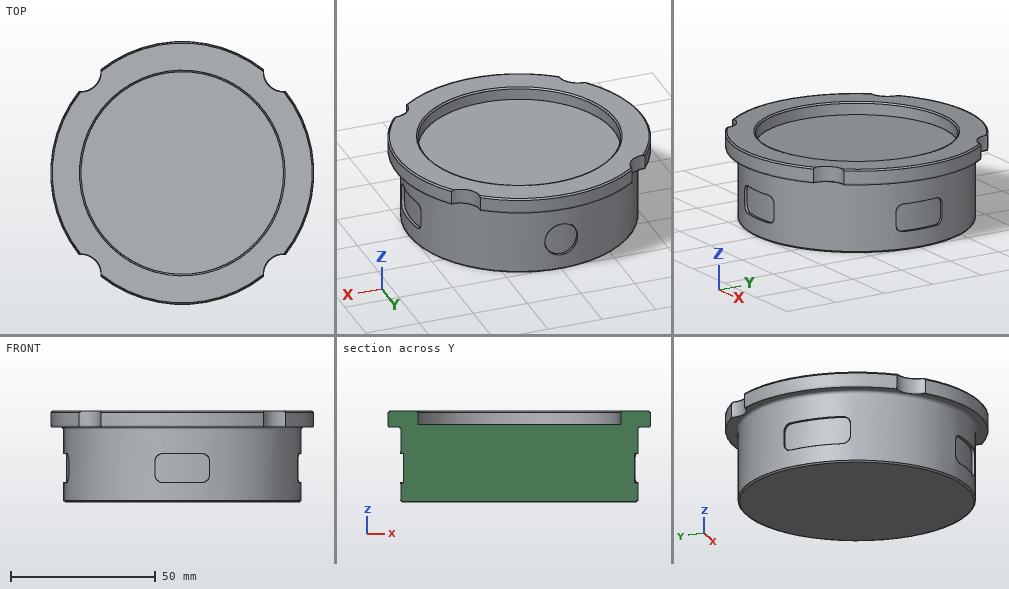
import cadquery as cq
import math

flange_diameter = 91.0
total_height = 31.5
flange_thickness = 5.55
body_diameter = 82.2

edge_chamfer = 0.55
neck_fillet = 1.0
underside_chamfer_height = 0.55
underside_chamfer_width = 0.14

pocket_diameter = 70.1
pocket_depth = 4.6

notch_count = 4
notch_wall_offset = 28.1
notch_corner_radius = 7.0

panel_depth = 1.0
panel_height = 10.0
panel_corner_radius = 2.7
panel_center_z = 11.7
narrow_panel_width = 18.9
wide_panel_width = 24.5
round_panel_diameter = 12.1

flange_radius = flange_diameter / 2
body_radius = body_diameter / 2
flange_bottom_z = total_height - flange_thickness


def turned_about_z(part, angle):
    """Rotate a solid about the part axis."""
    return part.rotate((0, 0, 0), (0, 0, 1), angle)


def make_body():
    """Solid round body, flared by the neck fillet where it enters the flange."""
    neck_radius = body_radius + neck_fillet
    fillet_start_z = flange_bottom_z - neck_fillet
    fillet_reach = neck_fillet * math.sqrt(0.5)
    fillet_middle = (neck_radius - fillet_reach, fillet_start_z + fillet_reach)
    return (
        cq.Workplane("XZ")
        .lineTo(body_radius - edge_chamfer, 0)
        .lineTo(body_radius, edge_chamfer)
        .lineTo(body_radius, fillet_start_z)
        .threePointArc(fillet_middle, (neck_radius, flange_bottom_z))
        .lineTo(neck_radius, total_height)
        .lineTo(0, total_height)
        .close()
        .revolve(360, (0, 0, 0), (0, 1, 0))
    )


def make_notch(angle):
    """Cutter for one flange notch, with its inner corner rounded."""
    size = flange_radius - notch_wall_offset
    center = notch_wall_offset + size / 2
    notch = (
        cq.Workplane("XY", origin=(center, center, flange_bottom_z))
        .rect(size, size)
        .extrude(flange_thickness)
        .edges("|Z and <X and <Y")
        .fillet(notch_corner_radius)
    )
    return turned_about_z(notch, angle)


def make_flange():
    """Notched disc: the top chamfer skips the notches, the steep lower one follows them."""
    rim_bottom_z = flange_bottom_z + underside_chamfer_height
    flange = (
        cq.Workplane("XY", origin=(0, 0, rim_bottom_z))
        .circle(flange_radius)
        .extrude(total_height - rim_bottom_z)
        .faces(">Z")
        .edges()
        .chamfer(edge_chamfer)
    )
    for index in range(notch_count):
        flange = flange.cut(make_notch(index * 360 / notch_count))
    lip_taper = math.degrees(math.atan2(underside_chamfer_width, underside_chamfer_height))
    lip = (
        flange.faces("<Z")
        .workplane(origin=(0, 0, rim_bottom_z))
        .add(flange.faces("<Z").wires())
        .toPending()
        .extrude(underside_chamfer_height, taper=lip_taper, combine=False)
    )
    return flange.union(lip)


def make_pocket():
    """Cutter for the top pocket and its chamfered mouth."""
    pocket_radius = pocket_diameter / 2
    floor_z = total_height - pocket_depth
    return (
        cq.Workplane("XZ")
        .moveTo(0, floor_z)
        .lineTo(pocket_radius, floor_z)
        .lineTo(pocket_radius, total_height - edge_chamfer)
        .lineTo(pocket_radius + edge_chamfer, total_height)
        .lineTo(0, total_height)
        .close()
        .revolve(360, (0, 0, 0), (0, 1, 0))
    )


def sink_panel(block, angle):
    """Cutter made from a block on the -Y side: its floor follows the wall, then it is turned."""
    core = cq.Workplane("XY").circle(body_radius - panel_depth).extrude(total_height)
    return turned_about_z(block.cut(core), angle)


def rounded_block(width):
    """Rounded rectangular block reaching out from the axis toward -Y."""
    return (
        cq.Workplane("XZ", origin=(0, 0, panel_center_z))
        .rect(width, panel_height)
        .extrude(flange_radius)
        .edges("|Y")
        .fillet(panel_corner_radius)
    )


def round_block():
    """Cylinder reaching out from the axis toward -Y."""
    return (
        cq.Workplane("XZ", origin=(0, 0, panel_center_z))
        .circle(round_panel_diameter / 2)
        .extrude(flange_radius)
    )


result = make_body().union(make_flange()).cut(make_pocket())

result = result.cut(sink_panel(rounded_block(narrow_panel_width), 0))
result = result.cut(sink_panel(rounded_block(wide_panel_width), -90))
result = result.cut(sink_panel(rounded_block(narrow_panel_width), 90))
result = result.cut(sink_panel(round_block(), 180))